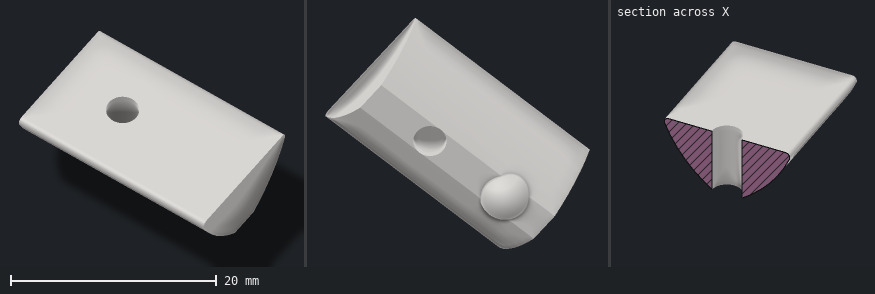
import cadquery as cq
import math

length = 22.0
width = 13.68
body_height = 7.0
floor_width = 3.17
corner_radius = 0.5
corner_end_angle = math.radians(23.0)

hole_diameter = 3.23
hole_x = 7.5

ball_diameter = 5.0
ball_x = 17.0
overall_height = 8.7


def corner_point(angle):
    """Point (Y, Z) on the +Y corner rounding at an angle above horizontal."""
    center_y = width / 2 - corner_radius
    center_z = -corner_radius
    return (
        center_y + corner_radius * math.cos(angle),
        center_z + corner_radius * math.sin(angle),
    )


def make_body():
    """Extrude half of the section and mirror it about the XZ plane."""
    top_edge = corner_point(math.pi / 2)
    corner_middle = corner_point((math.pi / 2 - corner_end_angle) / 2)
    flank_start = corner_point(-corner_end_angle)
    half = (
        cq.Workplane("YZ")
        .lineTo(*top_edge)
        .threePointArc(corner_middle, flank_start)
        .tangentArcPoint((floor_width / 2, -body_height), relative=False)
        .lineTo(0, -body_height)
        .close()
        .extrude(length)
    )
    return half.union(half.mirror("XZ"))


def make_hole():
    return (
        cq.Workplane("XY")
        .center(hole_x, 0)
        .circle(hole_diameter / 2)
        .extrude(-body_height)
    )


def make_ball():
    ball_radius = ball_diameter / 2
    return cq.Workplane("XY").sphere(ball_radius).translate((ball_x, 0, ball_radius - overall_height))


result = make_body().cut(make_hole()).union(make_ball())